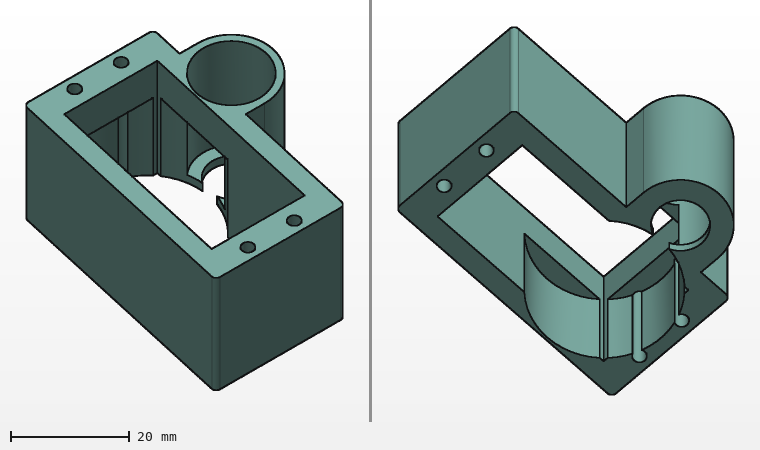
import cadquery as cq

length = 52.0
width = 28.0
height = 27.5
corner_radius = 1.0
cavity_length = 40.0
cavity_width = 20.0

hole_diameter = 2.5
hole_spacing_x = 47.0
hole_spacing_y = 10.0

overall_depth = 41.0
boss_radius = 9.0
bore_diameter = 15.0
lower_bore_diameter = 10.0
ledge_thickness = 2.0
boss_x = -10.0
boss_y = overall_depth - width / 2 - boss_radius

chamber_radius = 13.5
chamber_roof_depth = 8.5


def cylinder(x, y, diameter, bottom, top):
    """Vertical cylinder between two heights."""
    return (
        cq.Workplane("XY", origin=(x, y, bottom))
        .circle(diameter / 2)
        .extrude(top - bottom)
    )


def make_boss():
    """Round boss with straight flanks running into the frame."""
    flanks = (
        cq.Workplane("XY")
        .center(boss_x, boss_y / 2)
        .rect(2 * boss_radius, boss_y)
        .extrude(height)
    )
    return flanks.union(cylinder(boss_x, boss_y, 2 * boss_radius, 0, height))


frame = cq.Workplane("XY").box(length, width, height, centered=(True, True, False))
frame = frame.edges("|Z").fillet(corner_radius)
result = frame.union(make_boss())

cavity = cq.Workplane("XY").rect(cavity_length, cavity_width).extrude(height)
result = result.cut(cavity)

result = result.cut(cylinder(boss_x, boss_y, bore_diameter, ledge_thickness, height))
result = result.cut(cylinder(boss_x, boss_y, lower_bore_diameter, 0, height))

chamber_top = height - chamber_roof_depth
result = result.cut(cylinder(boss_x, 0, 2 * chamber_radius, 0, chamber_top))

mounting_holes = (
    cq.Workplane("XY")
    .rarray(hole_spacing_x, hole_spacing_y, 2, 2)
    .circle(hole_diameter / 2)
    .extrude(height)
)
result = result.cut(mounting_holes)